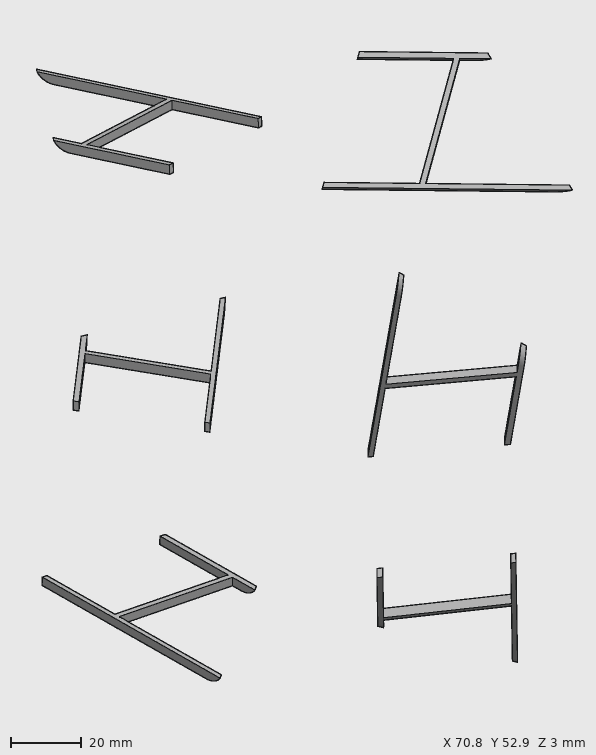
import cadquery as cq
import math

height = 3.0
bar_angle = 19.7
nose_angle = -40
nose_run = 4.75
tail_lean = 0.15
cutter_span = 14.15

upper_nose = (-35.4, 2.5)
upper_width = 1.5
upper_tail = (31.6, 24.7)
lower_nose = (-0.6, -25.2)
lower_width = 1.7
lower_tail = (35.4, -14.2)

cross_top = (5.1, 16.05)
cross_bottom = (8.7, -22.15)
cross_width = 1.7

z_bottom = -height / 2
z_top = height / 2
cross_dx = cross_bottom[0] - cross_top[0]
cross_dy = cross_bottom[1] - cross_top[1]
cross_length = math.hypot(cross_dx, cross_dy)
cross_angle = math.degrees(math.atan2(cross_dy, cross_dx))


def profile_plane(corner, across_angle):
    """Upright plane through a plan corner, its local x square to across_angle."""
    angle = math.radians(across_angle)
    along = (math.cos(angle), math.sin(angle), 0)
    x_dir = (-along[1], along[0], 0)
    return cq.Plane(origin=(corner[0], corner[1], 0), xDir=x_dir, normal=along)


def nose_cutter(corner):
    """Material outside an arc that is tangent to the underside."""
    radius = (nose_run**2 + height**2) / (2 * height)
    half_sweep = math.asin(nose_run / radius) / 2
    arc_middle = (
        nose_run - radius * math.sin(half_sweep),
        z_bottom + radius * (1 - math.cos(half_sweep)),
    )
    return (
        cq.Workplane(profile_plane(corner, nose_angle))
        .moveTo(0, z_top)
        .threePointArc(arc_middle, (nose_run, z_bottom))
        .lineTo(nose_run, z_bottom - height)
        .lineTo(-cutter_span, z_bottom - height)
        .lineTo(-cutter_span, z_top)
        .close()
        .extrude(cutter_span / 2, both=True)
    )


def tail_cutter(corner):
    """Material beyond a tail face that runs with the cross bar and leans outward below."""
    return (
        cq.Workplane(profile_plane(corner, cross_angle))
        .polyline([
            (0, z_bottom),
            (-tail_lean, z_top),
            (cutter_span, z_top),
            (cutter_span, z_bottom),
        ])
        .close()
        .extrude(cutter_span / 2, both=True)
    )


def long_bar(nose, width, tail):
    """Straight bar with a rounded nose and a leaning tail."""
    length = math.dist(nose, tail) + width
    blank = (
        cq.Workplane("XY")
        .box(length + width, width, height, centered=(False, False, True))
        .translate((-width, -width, 0))
        .rotate((0, 0, 0), (0, 0, 1), bar_angle)
        .translate((nose[0], nose[1], 0))
    )
    return blank.cut(nose_cutter(nose)).cut(tail_cutter(tail))


def cross_bar():
    """Plain rectangular bar between the long bars."""
    middle_x = (cross_top[0] + cross_bottom[0]) / 2
    middle_y = (cross_top[1] + cross_bottom[1]) / 2
    return (
        cq.Workplane("XY")
        .box(cross_length, cross_width, height)
        .rotate((0, 0, 0), (0, 0, 1), cross_angle)
        .translate((middle_x, middle_y, 0))
    )


upper_bar = long_bar(upper_nose, upper_width, upper_tail)
lower_bar = long_bar(lower_nose, lower_width, lower_tail)
result = upper_bar.union(lower_bar).union(cross_bar())